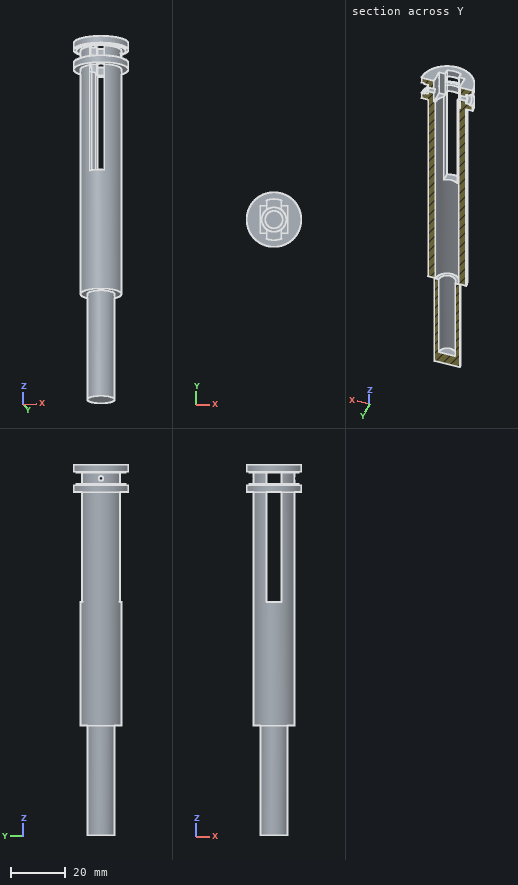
import cadquery as cq

total_height = 135.0
stem_height = 40.0
slot_floor_height = 85.0

stem_diameter = 10.0
tube_diameter = 15.0
flange_diameter = 20.0

head_height = 10.0
flange_thickness = 3.0
groove_lip_diameter = 18.0
groove_lip_height = 0.4

pocket_side = 10.0
slot_width = 5.4
bore_diameter = 8.9
stem_bore_diameter = 6.3
stem_bore_floor_height = 5.0
pin_hole_diameter = 1.6


def cylinder(diameter, bottom, top):
    """Vertical cylinder on the part axis between two heights."""
    return cq.Workplane("XY").workplane(offset=bottom).circle(diameter / 2).extrude(top - bottom)


def flange(outer_face, direction):
    """Flange from its outer face to a smaller raised lip at the groove; direction is +1 up or -1 down."""
    rim_end = outer_face + direction * (flange_thickness - groove_lip_height)
    groove_face = outer_face + direction * flange_thickness
    rim = cylinder(flange_diameter, outer_face, rim_end)
    lip = cylinder(groove_lip_diameter, rim_end, groove_face)
    return rim.union(lip)


def pocket():
    """Square pocket as deep as the head."""
    floor = cq.Workplane("XY").workplane(offset=total_height - head_height)
    return floor.rect(pocket_side, pocket_side).extrude(head_height)


def slot():
    """Slot along Y that reaches only as far as the tube's outer diameter, leaving the flange rims whole."""
    floor = cq.Workplane("XY").workplane(offset=slot_floor_height)
    block = floor.rect(slot_width, flange_diameter).extrude(total_height - slot_floor_height)
    return block.intersect(cylinder(tube_diameter, slot_floor_height, total_height))


def pin_hole():
    """Cross hole along X at mid-height of the groove."""
    height = total_height - head_height / 2
    return cq.Workplane("YZ").center(0, height).circle(pin_hole_diameter / 2).extrude(flange_diameter, both=True)


body = cylinder(stem_diameter, 0, stem_height)
body = body.union(cylinder(tube_diameter, stem_height, total_height))
body = body.union(flange(total_height, -1))
body = body.union(flange(total_height - head_height, 1))

body = body.cut(pocket())
body = body.cut(slot())
body = body.cut(cylinder(bore_diameter, stem_height, total_height - head_height))
body = body.cut(cylinder(stem_bore_diameter, stem_bore_floor_height, stem_height))
result = body.cut(pin_hole())